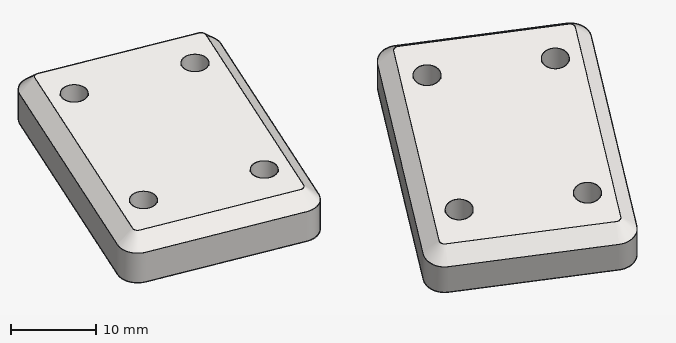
import cadquery as cq

length = 35.56
width = 25.4
thickness = 6.35
corner_radius = 2.54
top_chamfer = 1.905

hole_diameter = 3.28
hole_spacing_x = 21.59
hole_spacing_y = 15.24


def rounded_plate():
    """Plate standing on Z = 0 with rounded vertical corners and a bevelled top rim."""
    block = cq.Workplane("XY").box(length, width, thickness, centered=(True, True, False))
    rounded = block.edges("|Z").fillet(corner_radius)
    return rounded.faces(">Z").edges().chamfer(top_chamfer)


def drill_corner_holes(plate):
    """Drill the four plain holes through the full thickness."""
    top = plate.faces(">Z").workplane(origin=(0, 0, thickness))
    return top.rarray(hole_spacing_x, hole_spacing_y, 2, 2).hole(hole_diameter)


result = drill_corner_holes(rounded_plate())